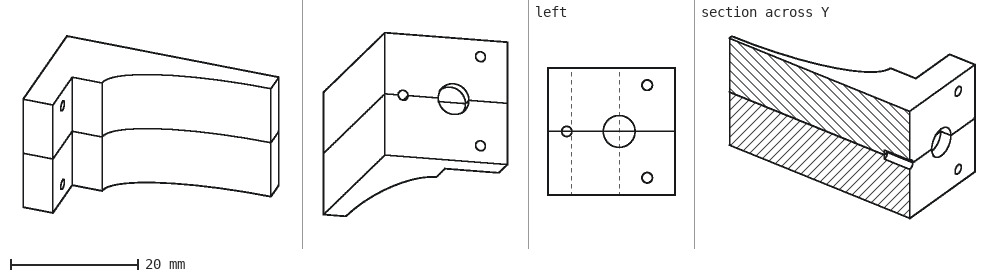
import cadquery as cq

length = 35.5
width = 20.0
height = 20.0
half_height = height / 2

flange_thickness = 5.0
ledge_length = 5.0
ledge_y = 8.8
tip_thickness = 3.65
tip_y = width - tip_thickness
arch_start_x = flange_thickness + ledge_length

bore_diameter = 5.0
bore_depth = 2.0
screw_diameter = 1.6
screw_y = 4.4
screw_offset_z = 7.28
upper_hole_y = 17.05
upper_hole_depth = flange_thickness


def bracket_half(bottom_z):
    """Half of the bracket, with an elliptical arch under its arm."""
    arch = (
        cq.Workplane("XY")
        .workplane(offset=bottom_z)
        .center(length, ledge_y)
        .ellipse(length - arch_start_x, tip_y - ledge_y)
        .extrude(half_height)
    )
    outline = [
        (0, 0),
        (flange_thickness, 0),
        (flange_thickness, ledge_y),
        (length, ledge_y),
        (length, width),
        (0, width),
    ]
    blank = cq.Workplane("XY").workplane(offset=bottom_z).polyline(outline).close().extrude(half_height)
    return blank.cut(arch)


def face_hole(y, z, diameter, depth):
    """Cylinder running along +X from the mounting face."""
    return cq.Workplane("YZ").center(y, z).circle(diameter / 2).extrude(depth)


hole_cutters = [
    face_hole(ledge_y, 0, bore_diameter, bore_depth),
    face_hole(upper_hole_y, 0, screw_diameter, upper_hole_depth),
    face_hole(screw_y, screw_offset_z, screw_diameter, flange_thickness),
    face_hole(screw_y, -screw_offset_z, screw_diameter, flange_thickness),
]

halves = []
for bottom_z in (-half_height, 0):
    half = bracket_half(bottom_z)
    for cutter in hole_cutters:
        half = half.cut(cutter)
    halves.append(half.val())

result = cq.Compound.makeCompound(halves)